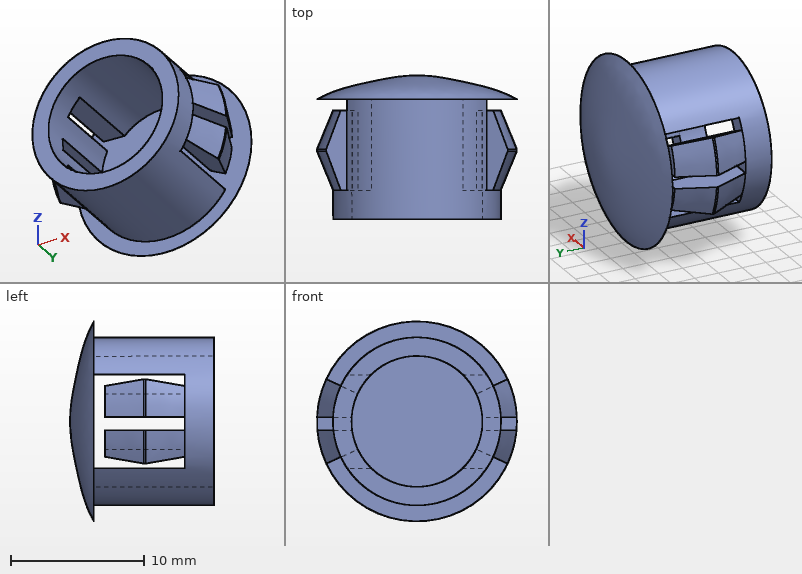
import cadquery as cq
import math


head_radius = 7.5
head_height = 1.8
crown_radius, crown_height = 3.0, 1.42
shoulder_radius, shoulder_height = 6.0, 0.68

dome_rim_direction = (-1, 0.6)
dome_apex_direction = (-1, 0)

barrel_length = 9.0
barrel_radius = 6.3
bore_radius = 4.9

rim_length = 2.2
window_length = barrel_length - rim_length
window_height = 6.99

arm_tip_gap = 0.82
barb_radius = head_radius
barb_land = 0.15
arm_half_angle = 25.0
arm_split = 0.98
arm_split_drop = 0.16


def ring(outer_profile):
    """Revolve a (radius, Y) polygon about the Y axis."""
    return cq.Workplane("XY").polyline(outer_profile).close().revolve(360, (0, 0, 0), (0, 1, 0))


def make_head():
    return (
        cq.Workplane("XY")
        .moveTo(0, 0)
        .lineTo(head_radius, 0)
        .spline(
            [(shoulder_radius, shoulder_height), (crown_radius, crown_height), (0, head_height)],
            tangents=[dome_rim_direction, dome_apex_direction],
            includeCurrent=True,
        )
        .close()
        .revolve(360, (0, 0, 0), (0, 1, 0))
    )


def make_barrel():
    tube = ring([
        (bore_radius, 0),
        (barrel_radius, 0),
        (barrel_radius, -barrel_length),
        (bore_radius, -barrel_length),
    ])
    windows = cq.Workplane("XY").box(
        2 * head_radius, window_length, window_height, centered=(True, False, True)
    ).translate((0, -window_length, 0))
    return tube.cut(windows)


def make_arms():
    barb_middle = -(arm_tip_gap + window_length) / 2
    barb_ring = ring([
        (bore_radius, -arm_tip_gap),
        (barrel_radius, -arm_tip_gap),
        (barb_radius, barb_middle + barb_land / 2),
        (barb_radius, barb_middle - barb_land / 2),
        (barrel_radius, -window_length),
        (bore_radius, -window_length),
    ])

    wedge_reach = 2 * head_radius
    wedge_rise = wedge_reach * math.tan(math.radians(arm_half_angle))
    wedges = (
        cq.Workplane("XZ")
        .polyline([(0, 0), (wedge_reach, -wedge_rise), (wedge_reach, wedge_rise)])
        .close()
        .polyline([(0, 0), (-wedge_reach, -wedge_rise), (-wedge_reach, wedge_rise)])
        .close()
        .extrude(barrel_length)
    )
    split = (
        cq.Workplane("XY")
        .box(2 * wedge_reach, 2 * barrel_length, arm_split)
        .translate((0, 0, -arm_split_drop))
    )
    return barb_ring.intersect(wedges).cut(split)


result = make_head().union(make_barrel()).union(make_arms())